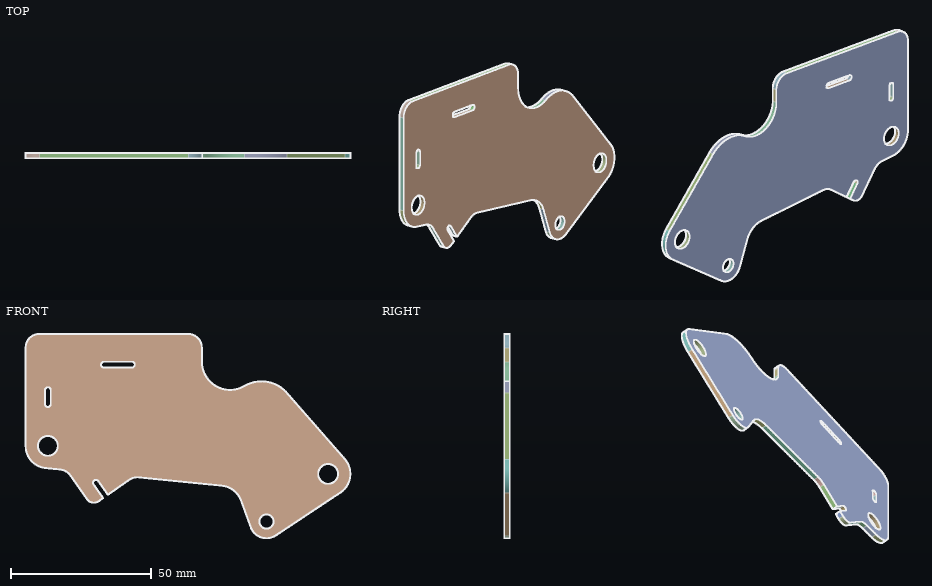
import cadquery as cq
import math

THICKNESS = 2.0

LEFT_PIVOT = (0.0, 0.0)
RIGHT_PIVOT = (100.0, -10.0)
PIVOT_LUG_RADIUS = 8.0
PIVOT_HOLE_DIAMETER = 7.0
SMALL_PIVOT = (78.0, -27.0)
SMALL_LUG_RADIUS = 6.0
SMALL_HOLE_DIAMETER = 5.0
SMALL_LUG_EDGE_ANGLE = -70.0
SMALL_LUG_FILLET = 8.0

TOP_Z = 40.0
PANEL_RIGHT_X = 55.0
PANEL_CORNER_RADIUS = 5.0

HOLLOW_RADIUS = 10.0
HOLLOW_CENTER = (PANEL_RIGHT_X + HOLLOW_RADIUS, 30.0)
SHOULDER_RADIUS = 12.0
SHOULDER_DROP = 18.92
SHOULDER_SHIFT = math.sqrt((HOLLOW_RADIUS + SHOULDER_RADIUS) ** 2 - SHOULDER_DROP**2)
SHOULDER_CENTER = (HOLLOW_CENTER[0] + SHOULDER_SHIFT, HOLLOW_CENTER[1] - SHOULDER_DROP)

TAB_ANGLE = -55.0
TAB_EDGE_OFFSET = 0.5
TAB_END_DISTANCE = 26.6
TAB_CORNER_RADIUS = 3.0
TAB_ROOT_FILLET = 5.0
TAB_SLOT_OFFSET = TAB_EDGE_OFFSET + 2 * TAB_CORNER_RADIUS
TAB_SLOT_DEPTH = 7.0

SLOT_WIDTH = 2.0
LONG_SLOT_LENGTH = 12.0
LONG_SLOT_CENTER = (25.0, 29.0)
SHORT_SLOT_LENGTH = 7.0
SHORT_SLOT_CENTER = (LEFT_PIVOT[0], 17.4)


def polar(center, radius, angle):
    """Point at the given radius and angle (degrees) from a centre."""
    a = math.radians(angle)
    return (center[0] + radius * math.cos(a), center[1] + radius * math.sin(a))


def direction(start, end):
    """Angle in degrees of the line from start to end."""
    return math.degrees(math.atan2(end[1] - start[1], end[0] - start[0]))


def tangent_normal(center_a, radius_a, center_b, radius_b):
    """Angle of the radii that meet the common tangent on the left of the way from a to b."""
    lean = math.degrees(math.acos((radius_a - radius_b) / math.dist(center_a, center_b)))
    return direction(center_a, center_b) + lean


def crossing(point_a, angle_a, point_b, angle_b):
    """Intersection of two lines, each given by a point and a direction angle."""
    dx = point_b[0] - point_a[0]
    dz = point_b[1] - point_a[1]
    b = math.radians(angle_b)
    reach = (dx * math.sin(b) - dz * math.cos(b)) / math.sin(math.radians(angle_b - angle_a))
    return polar(point_a, reach, angle_a)


def tab_point(along, across):
    """Point given along the tab and square to it (positive to the upper right)."""
    return polar(polar(LEFT_PIVOT, along, TAB_ANGLE), across, TAB_ANGLE + 90)


def fillet_corner(plate, point, radius):
    """Round the plate corner nearest to an (x, z) point."""
    middle = (point[0], THICKNESS / 2, point[1])
    return plate.edges("|Y").edges(cq.NearestToPointSelector(middle)).fillet(radius)


def make_plate():
    """Outline run clockwise from the left lug, extruded, with its plain corners rounded."""
    left_x = LEFT_PIVOT[0] - PIVOT_LUG_RADIUS

    slope_normal = tangent_normal(SHOULDER_CENTER, SHOULDER_RADIUS, RIGHT_PIVOT, PIVOT_LUG_RADIUS)
    nose_normal = tangent_normal(RIGHT_PIVOT, PIVOT_LUG_RADIUS, SMALL_PIVOT, SMALL_LUG_RADIUS)
    lower_normal = tangent_normal(RIGHT_PIVOT, PIVOT_LUG_RADIUS, LEFT_PIVOT, PIVOT_LUG_RADIUS)
    lower_angle = lower_normal + 90
    lower_start = polar(LEFT_PIVOT, PIVOT_LUG_RADIUS, lower_normal)

    hollow_to_shoulder = direction(HOLLOW_CENTER, SHOULDER_CENTER)
    hollow_start = (PANEL_RIGHT_X, HOLLOW_CENTER[1])
    hollow_middle = polar(HOLLOW_CENTER, HOLLOW_RADIUS, (hollow_to_shoulder - 180) / 2)
    hollow_end = polar(HOLLOW_CENTER, HOLLOW_RADIUS, hollow_to_shoulder)
    shoulder_middle = polar(
        SHOULDER_CENTER, SHOULDER_RADIUS, (hollow_to_shoulder + 180 + slope_normal) / 2
    )
    shoulder_end = polar(SHOULDER_CENTER, SHOULDER_RADIUS, slope_normal)

    small_normal = SMALL_LUG_EDGE_ANGLE - 90
    small_end = polar(SMALL_PIVOT, SMALL_LUG_RADIUS, small_normal)
    small_corner = crossing(lower_start, lower_angle, small_end, SMALL_LUG_EDGE_ANGLE)

    tab_left = crossing(lower_start, lower_angle, tab_point(0, TAB_EDGE_OFFSET), TAB_ANGLE)
    tab_tip = tab_point(TAB_END_DISTANCE, TAB_EDGE_OFFSET)
    tab_right = crossing(lower_start, lower_angle, tab_tip, TAB_ANGLE + 90)

    plate = (
        cq.Workplane("XZ")
        .moveTo(left_x, LEFT_PIVOT[1])
        .lineTo(left_x, TOP_Z)
        .lineTo(PANEL_RIGHT_X, TOP_Z)
        .lineTo(*hollow_start)
        .threePointArc(hollow_middle, hollow_end)
        .threePointArc(shoulder_middle, shoulder_end)
        .lineTo(*polar(RIGHT_PIVOT, PIVOT_LUG_RADIUS, slope_normal))
        .threePointArc(
            polar(RIGHT_PIVOT, PIVOT_LUG_RADIUS, 0),
            polar(RIGHT_PIVOT, PIVOT_LUG_RADIUS, nose_normal),
        )
        .lineTo(*polar(SMALL_PIVOT, SMALL_LUG_RADIUS, nose_normal))
        .threePointArc(polar(SMALL_PIVOT, SMALL_LUG_RADIUS, -90), small_end)
        .lineTo(*small_corner)
        .lineTo(*tab_right)
        .lineTo(*tab_tip)
        .lineTo(*tab_left)
        .lineTo(*lower_start)
        .threePointArc(polar(LEFT_PIVOT, PIVOT_LUG_RADIUS, -135), (left_x, LEFT_PIVOT[1]))
        .close()
        .extrude(-THICKNESS)
    )
    rounded_corners = [
        ((left_x, TOP_Z), PANEL_CORNER_RADIUS),
        ((PANEL_RIGHT_X, TOP_Z), PANEL_CORNER_RADIUS),
        (small_corner, SMALL_LUG_FILLET),
        (tab_right, TAB_ROOT_FILLET),
        (tab_tip, TAB_CORNER_RADIUS),
        (tab_left, TAB_ROOT_FILLET),
    ]
    for point, radius in rounded_corners:
        plate = fillet_corner(plate, point, radius)
    return plate


def hole_cutter(center, diameter):
    """Round through hole."""
    return cq.Workplane("XZ").center(*center).circle(diameter / 2).extrude(-THICKNESS)


def slot_cutter(center, length, angle):
    """Round-ended through slot of the common width."""
    return cq.Workplane("XZ").center(*center).slot2D(length, SLOT_WIDTH, angle).extrude(-THICKNESS)


def tab_slot_cutter():
    """Slot centred on the tab end edge, so that one half opens through it."""
    center = tab_point(TAB_END_DISTANCE, TAB_SLOT_OFFSET)
    return slot_cutter(center, 2 * TAB_SLOT_DEPTH, TAB_ANGLE)


cutters = [
    hole_cutter(LEFT_PIVOT, PIVOT_HOLE_DIAMETER),
    hole_cutter(RIGHT_PIVOT, PIVOT_HOLE_DIAMETER),
    hole_cutter(SMALL_PIVOT, SMALL_HOLE_DIAMETER),
    slot_cutter(LONG_SLOT_CENTER, LONG_SLOT_LENGTH, 0),
    slot_cutter(SHORT_SLOT_CENTER, SHORT_SLOT_LENGTH, 90),
    tab_slot_cutter(),
]

result = make_plate()
for cutter in cutters:
    result = result.cut(cutter)